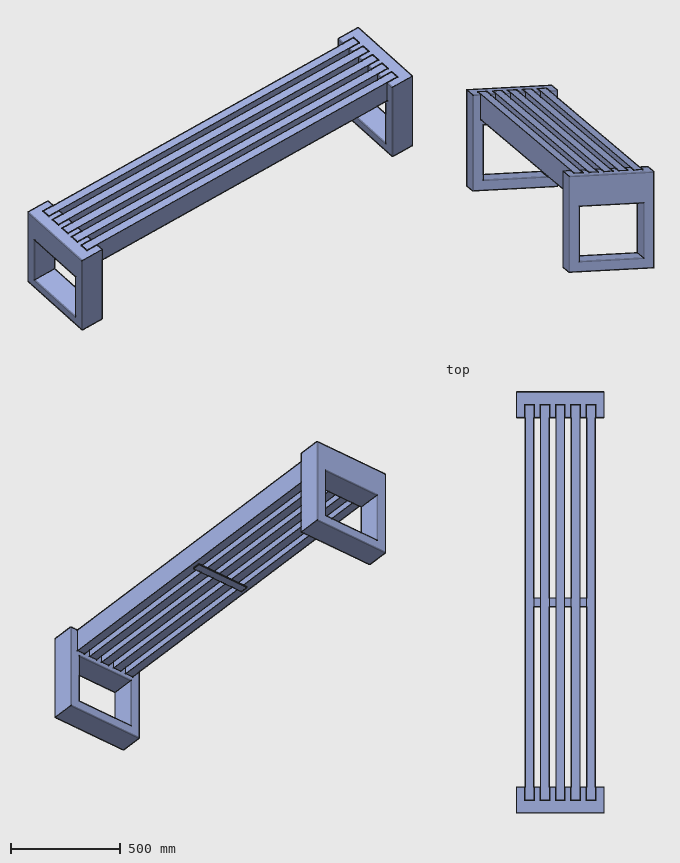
import cadquery as cq

BENCH_LENGTH = 1920.0
BENCH_WIDTH = 400.0
BENCH_HEIGHT = 450.0

FRAME_DEPTH = 120.0
FRAME_WALL = 50.0
FRAME_TOP_BEAM = 144.0
FRAME_ROUNDING = 2.9
SLOT_LENGTH = 61.0
SLOT_CLEARANCE = 2.5

SLAT_COUNT = 5
SLAT_WIDTH = 40.0
SLAT_HEIGHT = 120.0
SEAT_WIDTH = 320.0
STRAP_WIDTH = 40.0
STRAP_THICKNESS = 5.0

slat_pitch = (SEAT_WIDTH - SLAT_WIDTH) / (SLAT_COUNT - 1)
slat_centres = [(i - (SLAT_COUNT - 1) / 2) * slat_pitch for i in range(SLAT_COUNT)]
slat_bottom = BENCH_HEIGHT - SLAT_HEIGHT
slot_span = BENCH_LENGTH - 2 * (FRAME_DEPTH - SLOT_LENGTH)
slat_length = slot_span - 2 * SLOT_CLEARANCE


def upright_block(width, length, height, x=0.0, y=0.0, bottom=0.0):
    """Box centred on (x, y) and standing on the level `bottom`."""
    block = cq.Workplane("XY").box(width, length, height, centered=(True, True, False))
    return block.translate((x, y, bottom))


def end_frame(y):
    """Rectangular leg frame with a thick top beam and rounded front and back edges."""
    opening_width = BENCH_WIDTH - 2 * FRAME_WALL
    opening_height = BENCH_HEIGHT - FRAME_WALL - FRAME_TOP_BEAM
    body = upright_block(BENCH_WIDTH, FRAME_DEPTH, BENCH_HEIGHT, y=y)
    opening = upright_block(opening_width, FRAME_DEPTH, opening_height, y=y, bottom=FRAME_WALL)
    frame = body.cut(opening)
    return frame.faces("<Y or >Y").edges().fillet(FRAME_ROUNDING)


def slat_slot(x):
    """Clearance for one slat, cut into both top beams and open at the top."""
    slot_width = SLAT_WIDTH + 2 * SLOT_CLEARANCE
    return upright_block(slot_width, slot_span, SLAT_HEIGHT, x=x, bottom=slat_bottom)


def slat(x):
    """Plank on edge, resting on the slot floors and flush with the frame tops."""
    return upright_block(SLAT_WIDTH, slat_length, SLAT_HEIGHT, x=x, bottom=slat_bottom)


frame_offset = (BENCH_LENGTH - FRAME_DEPTH) / 2
result = end_frame(-frame_offset).union(end_frame(frame_offset))

for centre in slat_centres:
    result = result.cut(slat_slot(centre))

for centre in slat_centres:
    result = result.union(slat(centre))

strap_length = SEAT_WIDTH - SLAT_WIDTH
strap_bottom = slat_bottom - STRAP_THICKNESS
result = result.union(upright_block(strap_length, STRAP_WIDTH, STRAP_THICKNESS, bottom=strap_bottom))